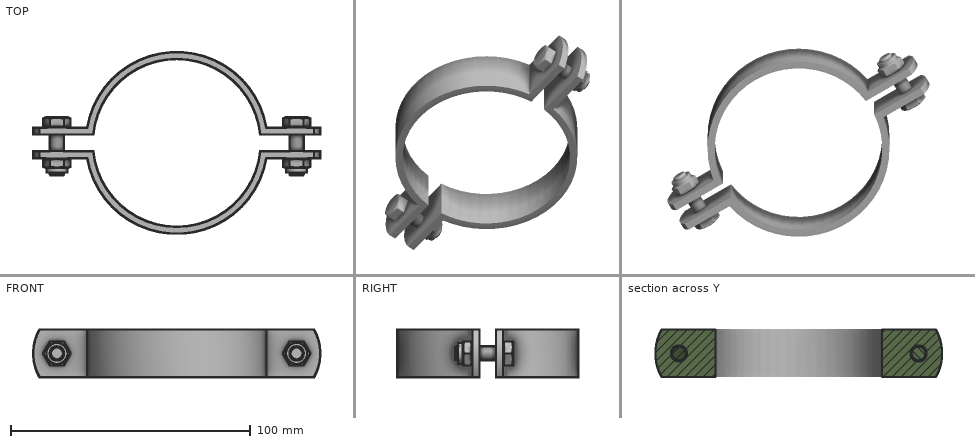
import cadquery as cq
import math

overall_length = 120.0
outer_diameter = 76.0
strap_thickness = 3.0
strap_width = 20.0
clamp_gap = 6.8
ear_end_radius = strap_width
bolt_hole_diameter = 6.5
bolt_offset = 50.0

outer_radius = outer_diameter / 2
inner_radius = outer_radius - strap_thickness
ear_inner_y = clamp_gap / 2
ear_outer_y = ear_inner_y + strap_thickness

hex_across_flats = 10.0
hex_corner_diameter = hex_across_flats / math.cos(math.pi / 6)
hex_face_diameter = 8.9
hex_chamfer_height = 0.6
washer_face_diameter = 8.6
washer_face_height = 0.4
head_height = 4.3
shank_diameter = 6.0
tip_diameter = 5.0
tip_chamfer_height = 0.7
bolt_tip_y = -13.7
nut_hex_height = 4.1
collar_diameter = 8.9
nut_height = 6.0


def cylinder_along_y(diameter, y_start, y_end):
    """Cylinder on the Y axis, running between two Y positions."""
    return (
        cq.Workplane("XZ", origin=(0, y_start, 0))
        .circle(diameter / 2)
        .extrude(y_start - y_end)
    )


def hex_prism(height):
    """Hexagonal prism from Y = 0 toward -Y, with corners pointing along X."""
    return cq.Workplane("XZ").polygon(6, hex_corner_diameter).extrude(height)


def corner_trim(height, chamfer_both_ends):
    """Round envelope that bevels the hexagon corners at the -Y end, or at both ends."""
    envelope = cylinder_along_y(hex_corner_diameter, 0, -height)
    ends = envelope.faces("|Y") if chamfer_both_ends else envelope.faces("<Y")
    radial_cut = (hex_corner_diameter - hex_face_diameter) / 2
    return ends.edges().chamfer(hex_chamfer_height, radial_cut)


def make_clamp_half():
    """Half ring on the +Y side with two flat ears, each drilled for a bolt."""
    outer_ring = cq.Workplane("XY").circle(outer_radius).extrude(strap_width / 2, both=True)
    ears = (
        cq.Workplane("XY")
        .box(overall_length, strap_thickness, strap_width)
        .translate((0, ear_inner_y + strap_thickness / 2, 0))
    )
    upper_space = (
        cq.Workplane("XY")
        .box(overall_length, outer_radius, strap_width)
        .translate((0, ear_inner_y + outer_radius / 2, 0))
    )
    bore = cq.Workplane("XY").circle(inner_radius).extrude(strap_width / 2, both=True)
    half = outer_ring.intersect(upper_space).union(ears).cut(bore)
    return round_ear_ends(half).cut(bolt_holes())


def round_ear_ends(half):
    """Trim both ear ends to arcs bulging outward along X."""
    end_x = overall_length / 2
    end_drop = ear_end_radius - math.sqrt(ear_end_radius**2 - (strap_width / 2) ** 2)
    corner_x = end_x - end_drop
    corner_z = strap_width / 2
    outline = (
        cq.Workplane("XZ")
        .moveTo(-corner_x, -corner_z)
        .lineTo(corner_x, -corner_z)
        .threePointArc((end_x, 0), (corner_x, corner_z))
        .lineTo(-corner_x, corner_z)
        .threePointArc((-end_x, 0), (-corner_x, -corner_z))
        .close()
        .extrude(outer_radius, both=True)
    )
    return half.intersect(outline)


def bolt_holes():
    """Clearance holes through both ears."""
    return (
        cq.Workplane("XZ")
        .pushPoints([(-bolt_offset, 0), (bolt_offset, 0)])
        .circle(bolt_hole_diameter / 2)
        .extrude(-outer_radius)
    )


def make_bolt(x):
    """Hex bolt with its head on the +Y ear and its chamfered tip toward -Y."""
    hex_height = head_height - washer_face_height
    hexagon = (
        hex_prism(hex_height)
        .intersect(corner_trim(hex_height, False))
        .rotate((0, 0, 0), (1, 0, 0), 180)
        .translate((0, ear_outer_y + washer_face_height, 0))
    )
    washer_face = cylinder_along_y(washer_face_diameter, ear_outer_y + washer_face_height, ear_outer_y)
    shank = (
        cylinder_along_y(shank_diameter, ear_outer_y, bolt_tip_y)
        .faces("<Y")
        .edges()
        .chamfer(tip_chamfer_height, (shank_diameter - tip_diameter) / 2)
    )
    return hexagon.union(washer_face).union(shank).translate((x, 0, 0))


def make_nut(x):
    """Hex nut with a round collar, seated on the -Y ear."""
    hexagon = hex_prism(nut_hex_height).intersect(corner_trim(nut_hex_height, True))
    collar = cylinder_along_y(collar_diameter, -nut_hex_height, -nut_height)
    bore = cylinder_along_y(shank_diameter, 0, -nut_height)
    return hexagon.union(collar).cut(bore).translate((x, -ear_outer_y, 0))


back_half = make_clamp_half()
front_half = back_half.rotate((0, 0, 0), (0, 0, 1), 180)
bolt_positions = [-bolt_offset, bolt_offset]
bolts = [make_bolt(x).val() for x in bolt_positions]
nuts = [make_nut(x).val() for x in bolt_positions]

result = cq.Compound.makeCompound([back_half.val(), front_half.val(), *bolts, *nuts])